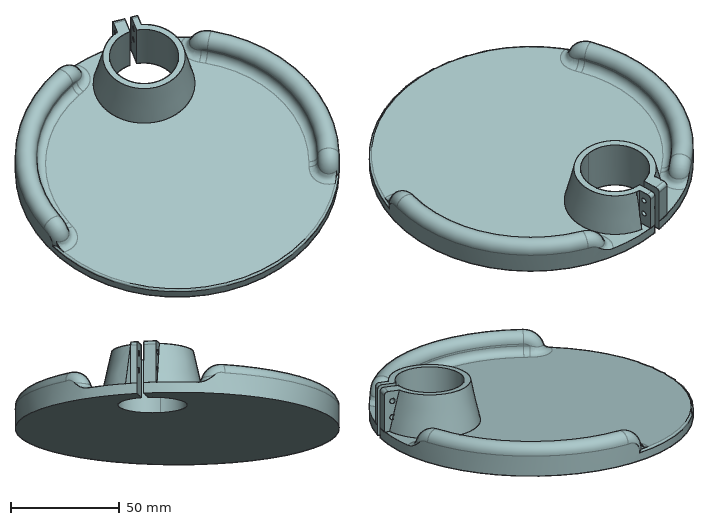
import cadquery as cq
import math

plate_radius = 75.0
plate_height = 15 / 3
plate_edge_round = 1.0
open_edge_angle = 69.2

bead_radius = plate_height
bead_width = 2 * bead_radius
bead_height = bead_radius + plate_height
bead_start_angle = 73.2
bead_end_angle = 149.7
bead_foot_round = 4.0

socket_x = -150 / 3
socket_height = 75 / 3
bore_radius = 48 / 3
wall_height = socket_height - plate_height
socket_top_radius = 19.0
socket_base_radius = 23.5
relief_angle = 19.2
slot_width = 3.1

clamp_length = socket_x + plate_radius
thin_ear_y = 4.6
thick_ear_y = -7.3
ear_corner_round = 2.0
screw_hole_diameter = 2.5
screw_hole_x = -71.0
screw_hole_heights = (12.0, 60 / 3)


def cylinder(radius, height, x=0.0, base=0.0):
    return cq.Workplane("XY", origin=(x, 0, base)).circle(radius).extrude(height)


def bead_section():
    """Upright bead section standing on the plate, flat sides and a round top."""
    inner = plate_radius - bead_width
    shoulder = plate_height + bead_height - bead_radius
    return (
        cq.Workplane("XZ")
        .moveTo(inner, plate_height)
        .lineTo(inner, shoulder)
        .threePointArc(
            (plate_radius - bead_radius, plate_height + bead_height),
            (plate_radius, shoulder),
        )
        .lineTo(plate_radius, plate_height)
        .close()
    )


def bead_end(angle, turn):
    """Quarter turn of the bead section down to the plate, at one end of a bead."""
    axis_start = (0, plate_height)
    axis_end = (turn, plate_height)
    end = bead_section().revolve(90, axis_start, axis_end)
    return end.rotate((0, 0, 0), (0, 0, 1), angle)


def bead():
    sweep = bead_end_angle - bead_start_angle
    body = bead_section().revolve(sweep, (0, 0), (0, 1))
    body = body.rotate((0, 0, 0), (0, 0, 1), bead_start_angle)
    return body.union(bead_end(bead_start_angle, 1)).union(bead_end(bead_end_angle, -1))


def plate_edge_cutter():
    """Waste outside and above the rounded plate edge, over the stretch open between the beads."""
    round_start = plate_radius - plate_edge_round
    diagonal = plate_edge_round * math.sqrt(0.5)
    waste = (
        cq.Workplane("XZ")
        .moveTo(round_start, plate_height)
        .threePointArc(
            (round_start + diagonal, plate_height - plate_edge_round + diagonal),
            (plate_radius, plate_height - plate_edge_round),
        )
        .lineTo(plate_radius + bead_width, plate_height - plate_edge_round)
        .lineTo(plate_radius + bead_width, plate_height + bead_height)
        .lineTo(round_start, plate_height + bead_height)
        .close()
        .revolve(2 * open_edge_angle, (0, 0), (0, 1))
    )
    return waste.rotate((0, 0, 0), (0, 0, 1), -open_edge_angle)


def plate_with_beads():
    """Rounded plate with beads blended into it.

    The beads are blended on an oversize plate so that the foot round can run off
    the plate outline, then everything is trimmed to that outline.
    """
    beads = bead().union(bead().mirror("XZ"))
    body = cylinder(plate_radius + bead_width, plate_height).union(beads)
    plate_top = body.faces("|Z").filter(lambda face: len(face.innerWires()) == 2).val()
    foot_edges = [edge for wire in plate_top.innerWires() for edge in wire.Edges()]
    blended = body.newObject(foot_edges).fillet(bead_foot_round)

    bead_roots = beads.translate((0, 0, -plate_edge_round))
    rounded = blended.cut(plate_edge_cutter()).union(beads).union(bead_roots)
    return rounded.intersect(cylinder(plate_radius, plate_height + bead_height))


def socket():
    """Tapered socket with its flare removed beside the thin ear."""
    taper = math.degrees(math.atan((socket_base_radius - socket_top_radius) / wall_height))
    cone = (
        cq.Workplane("XY", origin=(socket_x, 0, plate_height))
        .circle(socket_base_radius)
        .extrude(wall_height, taper=taper)
    )
    reach = 2 * socket_base_radius
    relief = (
        cq.Workplane("XY", origin=(socket_x, 0, plate_height))
        .polyline([(0, 0), (-reach, 0), (-reach, reach * math.tan(math.radians(relief_angle)))])
        .close()
        .extrude(wall_height)
    )
    core = cylinder(socket_top_radius, wall_height, socket_x, plate_height)
    return cone.cut(relief).union(core)


def ear(side_y):
    """Clamp ear from the slot centre plane out to side_y."""
    return (
        cq.Workplane("XY", origin=(-plate_radius + clamp_length / 2, side_y / 2, plate_height))
        .box(clamp_length, abs(side_y), wall_height, centered=(True, True, False))
        .faces("<X")
        .edges(">Z")
        .fillet(ear_corner_round)
    )


def screw_holes():
    """Cross holes through both ears, ending at their outer sides."""
    centres = [(screw_hole_x, height) for height in screw_hole_heights]
    return (
        cq.Workplane("XZ", origin=(0, thin_ear_y, 0))
        .pushPoints(centres)
        .circle(screw_hole_diameter / 2)
        .extrude(thin_ear_y - thick_ear_y)
    )


def slot():
    return cq.Workplane("XY", origin=(-plate_radius + clamp_length / 2, 0, 0)).box(
        clamp_length, slot_width, socket_height, centered=(True, True, False)
    )


result = plate_with_beads().union(socket())
for ear_side in (thin_ear_y, thick_ear_y):
    result = result.union(ear(ear_side))
result = result.cut(cylinder(bore_radius, socket_height, socket_x))
result = result.cut(slot()).cut(screw_holes())